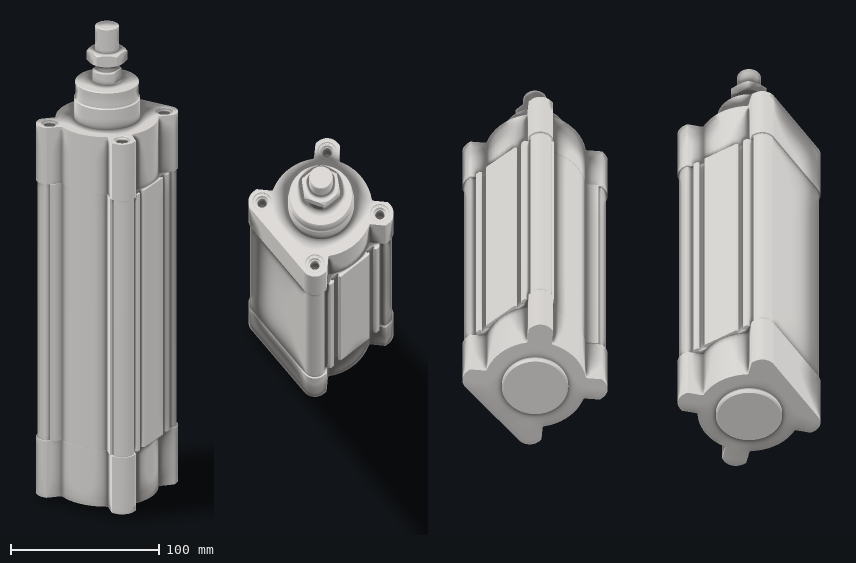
import cadquery as cq
import math

TOTAL_LENGTH = 343.0
SPIGOT_HEIGHT = 3.8
BODY_LENGTH = 271.7
COVER_HEIGHT = 41.5
BARREL_BASE = SPIGOT_HEIGHT + COVER_HEIGHT
BODY_TOP = SPIGOT_HEIGHT + BODY_LENGTH
BARREL_TOP = BODY_TOP - COVER_HEIGHT
BARREL_LENGTH = BARREL_TOP - BARREL_BASE

BOLT_SPACING = 56.5
BOLT_OFFSET = BOLT_SPACING / 2
RECESS_MOUTH_DIAMETER = 13.0
RECESS_DIAMETER = 12.0
RECESS_DEPTH = 0.7
RING_DIAMETER = 10.5
RING_DEPTH = 1.0
THREAD_MOUTH_DIAMETER = 9.0
THREAD_DIAMETER = 8.0
THREAD_DEPTH = 3.5
CORE_DIAMETER = 6.5
CORE_DEPTH = 17.0
CORE_TIP_ANGLE = 118.0

COVER_SIZE = 75.0
COVER_DIAMETER = 69.5
COVER_LOBE_EDGE = 25.7
LOBE_ROUNDING = 1.5
ROOT_ROUNDING = 1.0

BARREL_SIZE = 73.0
BARREL_DIAMETER = 69.3
BARREL_LOBE_EDGE = 26.5
FRONT_ARC_HALF_WIDTH = 17.0
NOTCH_DEPTH = 2.7
NOTCH_OUTER = 24.7
NOTCH_INNER = 23.5

LIP_EDGE = 21.3
SLOT_OUTER = 17.5
SLOT_INNER = 13.5
SLOT_UNDERCUT = 1.0
SLOT_CHAMFER = 1.0
SLOT_DEPTH = 3.5
LIP_THICKNESS = 1.7

COLLAR_DIAMETER = 45.0
SPIGOT_CHAMFER = 1.0
COLLAR_STEP_Z = BODY_TOP + 15.5
COLLAR_TOP = BODY_TOP + 27.0
COLLAR_TIP_DIAMETER = 43.2
COLLAR_WAIST_DIAMETER = 42.5
COLLAR_CHAMFER = 0.7

ROD_DIAMETER = 20.0
ROD_SHOULDER = 311.2
ROD_CHAMFER = 0.5
ROD_FLATS = 16.8
FLATS_BASE = COLLAR_TOP + 0.7
NECK_DIAMETER = 14.5
NECK_TOP = 314.0
THREAD_BASE = 316.7
STUD_DIAMETER = 16.0
STUD_CHAMFER = 0.5

NUT_FLATS = 24.0
NUT_HEIGHT = 8.2
NUT_BASE = 317.0
NUT_CHAMFER_ANGLE = 30.0

SIDES = (-1, 1)
CORNERS = [(x_sign, y_sign) for x_sign in SIDES for y_sign in SIDES]


def turned(points):
    """Solid of revolution about Z from an outline of (radius, z) points."""
    return cq.Workplane("XZ").polyline(points).close().revolve(360, (0, 0, 0), (0, 1, 0))


def disc(diameter, base, height):
    """Upright cylinder on the Z axis."""
    return cq.Workplane("XY", origin=(0, 0, base)).circle(diameter / 2).extrude(height)


def corner_arc_middle(half_size):
    """X and Y of the middle of the corner arc that is centred on a bolt."""
    return BOLT_OFFSET + (half_size - BOLT_OFFSET) * math.sqrt(0.5)


def cover_lobe(x_sign, y_sign):
    """One corner lobe: two parallel 45-degree flanks joined by an arc round the bolt."""
    half = COVER_SIZE / 2
    middle = corner_arc_middle(half)
    flank_start = half - COVER_LOBE_EDGE
    return (
        cq.Workplane("XY")
        .moveTo(x_sign * flank_start, 0)
        .lineTo(x_sign * half, y_sign * COVER_LOBE_EDGE)
        .lineTo(x_sign * half, y_sign * BOLT_OFFSET)
        .threePointArc((x_sign * middle, y_sign * middle), (x_sign * BOLT_OFFSET, y_sign * half))
        .lineTo(x_sign * COVER_LOBE_EDGE, y_sign * half)
        .lineTo(0, y_sign * flank_start)
        .close()
        .extrude(COVER_HEIGHT)
    )


def build_cover():
    """End cover with its base on Z = 0."""
    half = COVER_SIZE / 2
    cover = disc(COVER_DIAMETER, 0, COVER_HEIGHT)
    back = cq.Workplane("XY").rect(2 * BOLT_OFFSET, half, centered=(True, False)).extrude(COVER_HEIGHT)
    back_limit = cq.Workplane("XY").rect(2 * COVER_LOBE_EDGE, COVER_SIZE).extrude(COVER_HEIGHT)
    cover = cover.union(back.intersect(back_limit))
    for x_sign, y_sign in CORNERS:
        cover = cover.union(cover_lobe(x_sign, y_sign))
    cover = cover.clean()

    flank_offset = half - COVER_LOBE_EDGE
    root_far = (flank_offset + math.sqrt(COVER_DIAMETER**2 / 2 - flank_offset**2)) / 2
    root_near = root_far - flank_offset
    side_ends = [(half, COVER_LOBE_EDGE, LOBE_ROUNDING), (root_far, root_near, ROOT_ROUNDING)]
    mirrored_side_ends = [(x, -y, rounding) for x, y, rounding in side_ends]
    front_ends = [(y, -x, rounding) for x, y, rounding in side_ends]
    for x, y, rounding in side_ends + mirrored_side_ends + front_ends:
        for x_sign in SIDES:
            nearest = cq.selectors.NearestToPointSelector((x_sign * x, y, COVER_HEIGHT / 2))
            cover = cover.edges("|Z").edges(nearest).fillet(rounding)
    return cover


def slot_outline(y_sign):
    """Points of one undercut sensor slot, from its outer lip to its inner lip."""
    face = BARREL_SIZE / 2
    floor = face - SLOT_DEPTH
    lip = face - LIP_THICKNESS
    throat = face - SLOT_CHAMFER
    points = [
        (face, SLOT_OUTER + SLOT_CHAMFER),
        (throat, SLOT_OUTER),
        (lip, SLOT_OUTER),
        (lip, SLOT_OUTER + SLOT_UNDERCUT),
        (floor, SLOT_OUTER + SLOT_UNDERCUT),
        (floor, SLOT_INNER - SLOT_UNDERCUT),
        (lip, SLOT_INNER - SLOT_UNDERCUT),
        (lip, SLOT_INNER),
        (throat, SLOT_INNER),
        (face, SLOT_INNER - SLOT_CHAMFER),
    ]
    return [(x, y_sign * y) for x, y in points]


def build_barrel_half():
    """The +X half of the extruded barrel."""
    half = BARREL_SIZE / 2
    radius = BARREL_DIAMETER / 2
    middle = corner_arc_middle(half)
    notch_floor = half - NOTCH_DEPTH
    half_angle = math.asin(FRONT_ARC_HALF_WIDTH / radius) / 2
    arc_end_y = math.sqrt(radius**2 - FRONT_ARC_HALF_WIDTH**2)
    flank_tip_y = arc_end_y + NOTCH_INNER - FRONT_ARC_HALF_WIDTH

    side_notch = [
        (half, BARREL_LOBE_EDGE),
        (notch_floor, NOTCH_OUTER),
        (notch_floor, NOTCH_INNER),
        (half, LIP_EDGE),
    ]
    lower_side = [(x, -y) for x, y in side_notch] + slot_outline(-1)
    upper_side = slot_outline(1)[::-1] + side_notch[::-1]

    outline = (
        cq.Workplane("XY", origin=(0, 0, BARREL_BASE))
        .moveTo(0, -radius)
        .threePointArc(
            (radius * math.sin(half_angle), -radius * math.cos(half_angle)),
            (FRONT_ARC_HALF_WIDTH, -arc_end_y),
        )
        .lineTo(NOTCH_INNER, -flank_tip_y)
        .lineTo(NOTCH_OUTER, -notch_floor)
        .lineTo(BARREL_LOBE_EDGE, -half)
        .lineTo(BOLT_OFFSET, -half)
        .threePointArc((middle, -middle), (half, -BOLT_OFFSET))
    )
    for point in lower_side + upper_side:
        outline = outline.lineTo(*point)
    return (
        outline.lineTo(half, BOLT_OFFSET)
        .threePointArc((middle, middle), (BOLT_OFFSET, half))
        .lineTo(0, half)
        .close()
        .extrude(BARREL_LENGTH)
    )


def build_collar():
    """Stepped bearing collar with a slightly waisted upper part."""
    radius = COLLAR_DIAMETER / 2
    tip_radius = COLLAR_TIP_DIAMETER / 2
    step_chamfer = radius - tip_radius
    waist_top = COLLAR_TOP - COLLAR_CHAMFER
    return (
        cq.Workplane("XZ")
        .moveTo(0, BODY_TOP)
        .lineTo(radius, BODY_TOP)
        .lineTo(radius, COLLAR_STEP_Z - step_chamfer)
        .lineTo(tip_radius, COLLAR_STEP_Z)
        .threePointArc((COLLAR_WAIST_DIAMETER / 2, (COLLAR_STEP_Z + waist_top) / 2), (tip_radius, waist_top))
        .lineTo(tip_radius - COLLAR_CHAMFER, COLLAR_TOP)
        .lineTo(0, COLLAR_TOP)
        .close()
        .revolve(360, (0, 0, 0), (0, 1, 0))
    )


def build_bolt_recess():
    """Stepped hole of a corner bolt, going down from Z = 0 to a drill point."""
    mouth_chamfer = (RECESS_MOUTH_DIAMETER - RECESS_DIAMETER) / 2
    thread_chamfer = (THREAD_MOUTH_DIAMETER - THREAD_DIAMETER) / 2
    core_radius = CORE_DIAMETER / 2
    tip_depth = core_radius / math.tan(math.radians(CORE_TIP_ANGLE / 2))
    return turned([
        (0, 0),
        (RECESS_MOUTH_DIAMETER / 2, 0),
        (RECESS_DIAMETER / 2, -mouth_chamfer),
        (RECESS_DIAMETER / 2, -RECESS_DEPTH),
        (RING_DIAMETER / 2, -RECESS_DEPTH),
        (RING_DIAMETER / 2, -RING_DEPTH),
        (THREAD_MOUTH_DIAMETER / 2, -RING_DEPTH),
        (THREAD_DIAMETER / 2, -RING_DEPTH - thread_chamfer),
        (THREAD_DIAMETER / 2, -THREAD_DEPTH),
        (core_radius, -THREAD_DEPTH),
        (core_radius, -CORE_DEPTH),
        (0, -CORE_DEPTH - tip_depth),
    ])


def build_housing():
    """Covers, barrel, spigot and collar in one solid, bored for the rod through the upper cover."""
    cover = build_cover()
    barrel_half = build_barrel_half()
    housing = barrel_half.union(barrel_half.mirror("YZ"))
    for base in (SPIGOT_HEIGHT, BARREL_TOP):
        housing = housing.union(cover.translate((0, 0, base)))
    spigot = disc(COLLAR_DIAMETER, 0, SPIGOT_HEIGHT).faces("<Z").chamfer(SPIGOT_CHAMFER)
    housing = housing.union(spigot).union(build_collar())

    recess = build_bolt_recess()
    for x_sign, y_sign in CORNERS:
        housing = housing.cut(recess.translate((x_sign * BOLT_OFFSET, y_sign * BOLT_OFFSET, BODY_TOP)))
    return housing.cut(disc(ROD_DIAMETER, BARREL_TOP, COLLAR_TOP - BARREL_TOP))


def build_rod():
    """Piston rod with a relieved neck, a threaded end and two wrench flats facing X."""
    radius = ROD_DIAMETER / 2
    stud_radius = STUD_DIAMETER / 2
    rod = turned([
        (0, BARREL_TOP),
        (radius, BARREL_TOP),
        (radius, ROD_SHOULDER - ROD_CHAMFER),
        (radius - ROD_CHAMFER, ROD_SHOULDER),
        (NECK_DIAMETER / 2, ROD_SHOULDER),
        (NECK_DIAMETER / 2, NECK_TOP),
        (stud_radius, THREAD_BASE),
        (stud_radius, TOTAL_LENGTH - STUD_CHAMFER),
        (stud_radius - STUD_CHAMFER, TOTAL_LENGTH),
        (0, TOTAL_LENGTH),
    ])
    flats_height = ROD_SHOULDER - FLATS_BASE
    between_flats = (
        cq.Workplane("XY", origin=(0, 0, FLATS_BASE)).rect(ROD_FLATS, ROD_DIAMETER).extrude(flats_height)
    )
    return rod.cut(disc(ROD_DIAMETER, FLATS_BASE, flats_height).cut(between_flats))


def build_nut():
    """Hexagon nut with corners on the Y axis and both faces chamfered."""
    face_radius = NUT_FLATS / 2
    corner_radius = NUT_FLATS / math.sqrt(3)
    drop = (corner_radius - face_radius) * math.tan(math.radians(NUT_CHAMFER_ANGLE))
    hexagon = (
        cq.Workplane("XY").polygon(6, 2 * corner_radius).extrude(NUT_HEIGHT).rotate((0, 0, 0), (0, 0, 1), 90)
    )
    chamfer_envelope = turned([
        (0, 0),
        (face_radius, 0),
        (corner_radius, drop),
        (corner_radius, NUT_HEIGHT - drop),
        (face_radius, NUT_HEIGHT),
        (0, NUT_HEIGHT),
    ])
    nut = hexagon.intersect(chamfer_envelope).cut(disc(STUD_DIAMETER, 0, NUT_HEIGHT))
    return nut.translate((0, 0, NUT_BASE))


housing = build_housing()
rod = build_rod()
nut = build_nut()

result = cq.Compound.makeCompound([housing.val(), rod.val(), nut.val()])